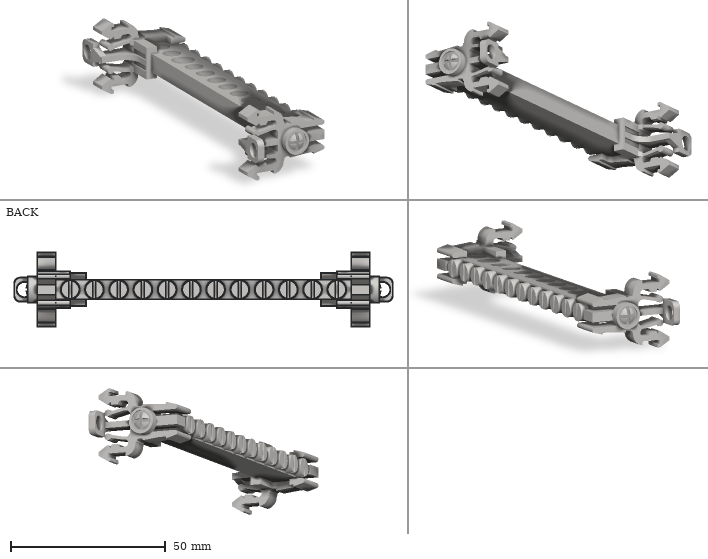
import cadquery as cq
import math

LENGTH = 122.5
DEPTH = 28.2

BAR_FRONT = 13.1
BAR_BACK = 25.4
BAR_HALF_HEIGHT = 3.2

TERMINAL_COUNT = 12
TERMINAL_PITCH = 7.8
TERMINAL_Y = 19.0
WIDE_TERMINALS = (2, 10)
TERMINAL_RADIUS = 3.1
WIDE_TERMINAL_RADIUS = 3.8
TERMINAL_RECESS = 0.2
SCREW_TOP_RADIUS = 3.0
SLOT_WIDTH = 1.0
SLOT_DEPTH = 1.1

PLATE_OUTER = -53.8
PLATE_INNER = -47.8
PLATE_THICKNESS = PLATE_INNER - PLATE_OUTER
HALF_HEIGHT = 12.0
BODY_FRONT = 11.3
WEB_HALF = 1.0
TONGUE_HALF = 1.6
ARM_INNER = 3.4
ARM_OUTER = 5.4
ARM_HOOK = 6.0

ARM_END = -43.1
ARM_REACH_START = 22.8
BLOCK_END = -38.0
BLOCK_BACK = 15.0
WINDOW_RADIUS = 1.5
GROOVE_END = -38.8
GROOVE_TOP = 2.8
GROOVE_DEPTH = 0.6
GUSSET_RADIUS = 5.1
CORNER_CHAMFER = 1.0
CORNER_START = 3.7

FOOT_THICKNESS = 2.3
EAR_HALF = 3.9
EAR_CORNER = 2.1
EAR_HOLE_RADIUS = 2.5
EAR_HOLE_X = -57.9
TAPER_START_HALF = 2.5
TAPER_END = -49.0

SCREW_Y = 16.7
HEAD_RADIUS = 4.3
HEAD_HEIGHT = 3.1
HEAD_RECESS_RADIUS = 3.4
HEAD_RECESS_DEPTH = 0.7
DOME_RADIUS = 2.8
DOME_HEIGHT = 1.2
CROSS_WIDTH = 1.1


def box(x0, x1, y0, y1, z0, z1):
    return cq.Workplane("XY").box(x1 - x0, y1 - y0, z1 - z0, centered=False).translate((x0, y0, z0))


def both_sides(solid):
    return solid.union(solid.mirror("XY"))


def plate_sketch():
    """Y-Z sketch plane on the outer face of the bracket plate."""
    return cq.Workplane("YZ", origin=(PLATE_OUTER, 0, 0))


def make_bar():
    """Rectangular bar with shallow round recesses on top and a screw behind each of them."""
    bar = box(PLATE_INNER, -PLATE_INNER, BAR_FRONT, BAR_BACK, -BAR_HALF_HEIGHT, BAR_HALF_HEIGHT)
    for index in range(TERMINAL_COUNT):
        x = (index - (TERMINAL_COUNT - 1) / 2) * TERMINAL_PITCH
        radius = WIDE_TERMINAL_RADIUS if index in WIDE_TERMINALS else TERMINAL_RADIUS
        recess = (
            cq.Workplane("XY", origin=(x, TERMINAL_Y, BAR_HALF_HEIGHT - TERMINAL_RECESS))
            .circle(radius)
            .extrude(TERMINAL_RECESS)
        )
        bar = bar.cut(recess).union(clamping_screw(x))
    return bar


def clamping_screw(x):
    """Slightly tapered, slotted screw head on the back of the bar."""
    cone = cq.Solid.makeCone(
        TERMINAL_RADIUS,
        SCREW_TOP_RADIUS,
        DEPTH - BAR_BACK,
        pnt=cq.Vector(x, BAR_BACK, 0),
        dir=cq.Vector(0, 1, 0),
    )
    screw = cq.Workplane(cone)
    half_slot = SLOT_WIDTH / 2
    slot = box(x - half_slot, x + half_slot, DEPTH - SLOT_DEPTH, DEPTH, -TERMINAL_RADIUS, TERMINAL_RADIUS)
    return screw.cut(slot)


def rear_arm(thickness):
    """Barbed arm that grips the bar, extruded along X from the plate's outer face."""
    return (
        plate_sketch()
        .moveTo(BODY_FRONT, ARM_INNER)
        .lineTo(27.2, ARM_INNER)
        .threePointArc((DEPTH, 4.3), (27.8, 5.0))
        .lineTo(24.3, ARM_HOOK)
        .lineTo(24.3, ARM_OUTER)
        .lineTo(21.8, ARM_OUTER)
        .lineTo(15.8, ARM_HOOK)
        .lineTo(15.8, ARM_OUTER)
        .lineTo(BODY_FRONT, ARM_OUTER)
        .close()
        .extrude(thickness)
    )


def snap_hook():
    """Curved outer hook with the barbed nose."""
    return (
        plate_sketch()
        .moveTo(13.4, ARM_INNER)
        .lineTo(14.3, ARM_OUTER)
        .lineTo(13.6, 5.8)
        .lineTo(13.6, 6.4)
        .lineTo(13.4, 6.4)
        .lineTo(13.1, 8.0)
        .threePointArc((12.2, 9.4), (10.5, 10.5))
        .lineTo(9.8, 10.5)
        .lineTo(9.8, 9.4)
        .lineTo(3.5, 9.4)
        .lineTo(3.5, 10.8)
        .lineTo(4.4, 10.8)
        .lineTo(4.4, 11.6)
        .threePointArc((4.3, 11.9), (4.0, HALF_HEIGHT))
        .lineTo(3.5, HALF_HEIGHT)
        .lineTo(0, 9.9)
        .lineTo(0, 8.7)
        .lineTo(3.3, 6.6)
        .lineTo(4.4, 7.6)
        .lineTo(4.7, 6.5)
        .lineTo(6.9, 6.5)
        .lineTo(7.5, 7.6)
        .lineTo(9.5, 7.6)
        .threePointArc((10.7, 6.5), (9.5, 5.3))
        .lineTo(BODY_FRONT, ARM_INNER)
        .close()
        .extrude(PLATE_THICKNESS)
    )


def spring_prong():
    """Thin inner prong ending in a round bead."""
    bead_y, bead_z, bead_radius = 3.3, 3.9, 1.1
    prong = (
        plate_sketch()
        .moveTo(BODY_FRONT, ARM_INNER)
        .threePointArc((11.0, 3.9), (10.3, 4.3))
        .lineTo(9.1, 4.3)
        .lineTo(bead_y, 3.1)
        .lineTo(bead_y, 4.2)
        .lineTo(9.0, 5.3)
        .lineTo(BODY_FRONT, ARM_OUTER)
        .close()
        .extrude(PLATE_THICKNESS)
    )
    bead = (
        plate_sketch()
        .center(bead_y, bead_z)
        .circle(bead_radius)
        .extrude(PLATE_THICKNESS)
    )
    return prong.union(bead)


def make_plate():
    """Body, middle tongue, web and the mirrored arms, hooks and prongs."""
    plate = box(PLATE_OUTER, PLATE_INNER, BODY_FRONT, SCREW_Y, -ARM_OUTER, ARM_OUTER)
    tongue = box(PLATE_OUTER, PLATE_INNER, SCREW_Y, DEPTH, -TONGUE_HALF, TONGUE_HALF)
    web = box(PLATE_OUTER, PLATE_INNER, 0, BODY_FRONT, -WEB_HALF, WEB_HALF)
    limbs = rear_arm(PLATE_THICKNESS).union(snap_hook()).union(spring_prong())
    return plate.union(tongue).union(web).union(both_sides(limbs))


def window_fillet(y, direction):
    """Concave corner of the window between the arm reach and the block."""
    r = WINDOW_RADIUS
    bend = r * (1 - math.sqrt(0.5))
    corner = (
        cq.Workplane("XY", origin=(0, 0, ARM_INNER))
        .moveTo(PLATE_INNER, y)
        .lineTo(PLATE_INNER + r, y)
        .threePointArc((PLATE_INNER + bend, y + direction * bend), (PLATE_INNER, y + direction * r))
        .close()
        .extrude(ARM_OUTER - ARM_INNER)
    )
    return both_sides(corner)


def make_arm_reach():
    """Barbed arm ends continued along the bar."""
    kept = box(PLATE_INNER, ARM_END, ARM_REACH_START, DEPTH, 0, HALF_HEIGHT)
    reach = rear_arm(ARM_END - PLATE_OUTER).intersect(kept)
    return both_sides(reach).union(window_fillet(ARM_REACH_START, -1))


def make_block():
    """Block wrapped around the front edge of the bar, with two grooves in its front."""
    block = box(PLATE_INNER, BLOCK_END, BODY_FRONT, BLOCK_BACK, -ARM_OUTER, ARM_OUTER)
    groove = box(PLATE_INNER, GROOVE_END, BODY_FRONT, BODY_FRONT + GROOVE_DEPTH, WEB_HALF, GROOVE_TOP)
    corner = (
        cq.Workplane("XY", origin=(0, 0, CORNER_START))
        .moveTo(PLATE_INNER, BODY_FRONT)
        .lineTo(PLATE_INNER + CORNER_CHAMFER, BODY_FRONT)
        .lineTo(PLATE_INNER, BODY_FRONT - CORNER_CHAMFER)
        .close()
        .extrude(ARM_OUTER - CORNER_START)
    )
    block = block.cut(both_sides(groove)).union(both_sides(corner))
    return block.union(window_fillet(BLOCK_BACK, 1))


def make_gusset():
    """Web gusset with a concave quarter-round edge under the block."""
    r = GUSSET_RADIUS
    bend = r * (1 - math.sqrt(0.5))
    return (
        cq.Workplane("XY", origin=(0, 0, -WEB_HALF))
        .moveTo(PLATE_INNER, BODY_FRONT)
        .lineTo(PLATE_INNER + r, BODY_FRONT)
        .threePointArc((PLATE_INNER + bend, BODY_FRONT - bend), (PLATE_INNER, BODY_FRONT - r))
        .close()
        .extrude(2 * WEB_HALF)
    )


def make_foot():
    """Mounting ear and its taper into the web."""
    ear = box(-LENGTH / 2, PLATE_OUTER, 0, FOOT_THICKNESS, -EAR_HALF, EAR_HALF)
    ear = ear.edges("<X and |Y").fillet(EAR_CORNER)
    taper = (
        cq.Workplane("XZ")
        .polyline([
            (PLATE_OUTER, TAPER_START_HALF),
            (TAPER_END, WEB_HALF),
            (TAPER_END, -WEB_HALF),
            (PLATE_OUTER, -TAPER_START_HALF),
        ])
        .close()
        .extrude(-FOOT_THICKNESS)
    )
    hole = cq.Workplane("XZ").center(EAR_HOLE_X, 0).circle(EAR_HOLE_RADIUS).extrude(-FOOT_THICKNESS)
    return ear.union(taper).cut(hole)


def make_end_screw():
    """Screw head with a sunken ring and a cross-slotted dome in the middle."""
    face = PLATE_OUTER - HEAD_HEIGHT
    ring_floor = face + HEAD_RECESS_DEPTH
    head = cq.Workplane("YZ", origin=(face, SCREW_Y, 0)).circle(HEAD_RADIUS).extrude(HEAD_HEIGHT)
    recess = (
        cq.Workplane("YZ", origin=(face, SCREW_Y, 0))
        .circle(HEAD_RECESS_RADIUS)
        .extrude(HEAD_RECESS_DEPTH)
    )
    crown = cq.Workplane("YZ", origin=(ring_floor, SCREW_Y, 0)).circle(DOME_RADIUS).extrude(-DOME_HEIGHT)
    sphere_radius = (DOME_RADIUS**2 + DOME_HEIGHT**2) / (2 * DOME_HEIGHT)
    sphere_x = ring_floor - DOME_HEIGHT + sphere_radius
    dome = crown.intersect(cq.Workplane("XY", origin=(sphere_x, SCREW_Y, 0)).sphere(sphere_radius))
    slot_center = cq.Workplane("XY", origin=(ring_floor, SCREW_Y, 0))
    slot_length = 2 * DOME_RADIUS
    cross = slot_center.box(3 * DOME_HEIGHT, CROSS_WIDTH, slot_length)
    cross = cross.union(slot_center.box(3 * DOME_HEIGHT, slot_length, CROSS_WIDTH))
    dome = dome.cut(cross)
    return head.cut(recess).union(dome)


def make_bracket():
    """Complete bracket for the -X end of the bar."""
    body = make_plate()
    for feature in (make_arm_reach(), make_block(), make_gusset(), make_foot(), make_end_screw()):
        body = body.union(feature)
    return body


bracket = make_bracket()
result = make_bar().union(bracket).union(bracket.mirror("YZ"))